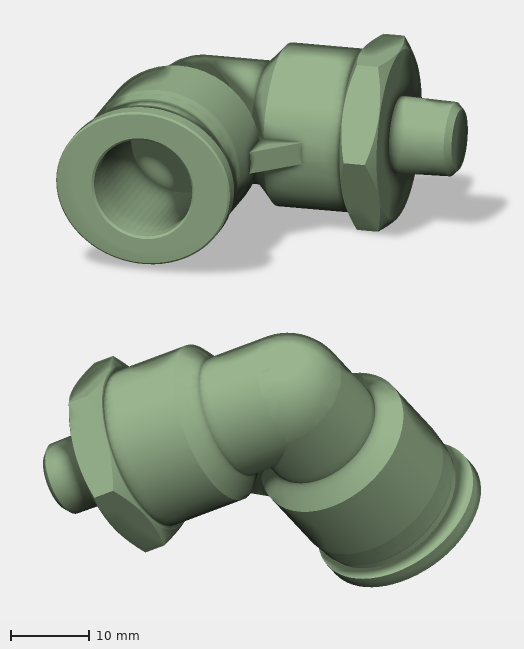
import cadquery as cq
import math


elbow_radius = 7.95
shoulder_start = 8.45
stud_arm_radius = 10.5
stud_shoulder_end = 10.83
stud_arm_end = 21.05
tube_arm_radius = 10.6
tube_shoulder_end = 11.1
tube_taper_start = 21.05
tube_taper_end = 23.97
tube_taper_radius = 10.33
tube_rim_radius = 10.0
tube_arm_end = 25.47
rim_chamfer = 0.25
rib_thickness = 2.85
rib_reach = 26.48

hex_across_flats = 22.25
hex_thickness = 4.9
hex_face_radius = 11.0
hex_chamfer_angle = 30
thread_root_radius = 4.95
thread_tip_radius = 4.78
thread_tip_radius_chamfered = 3.95
tip_chamfer_length = 0.8
stud_end = 34.0

flange_width = 23.0
flange_height = 20.45
flange_thickness = 2.25
flange_edge_chamfer = 0.25
neck_diameter = 14.8
neck_radius = neck_diameter / 2
bore_radius = 6.5
bore_edge_chamfer = 0.27
hex_corner_radius = hex_across_flats / math.sqrt(3)
overall_depth = 42.12
sleeve_end = overall_depth - hex_corner_radius
flange_start = sleeve_end - flange_thickness
socket_depth = 18.2
socket_floor = sleeve_end - socket_depth
sleeve_length = 5.2
sleeve_inner_end = sleeve_end - sleeve_length


def cylinder_along_tube(radius, start, end):
    """Cylinder on the -Y axis between two distances from the origin."""
    return cq.Workplane("XZ", origin=(0, -start, 0)).circle(radius).extrude(end - start)


def make_stud_arm():
    outline = [
        (0, 0),
        (0, elbow_radius),
        (shoulder_start, elbow_radius),
        (stud_shoulder_end, stud_arm_radius),
        (stud_arm_end, stud_arm_radius),
        (stud_arm_end, 0),
    ]
    return cq.Workplane("XY").polyline(outline).close().revolve(360, (0, 0), (1, 0))


def make_tube_arm():
    outline = [
        (0, 0),
        (elbow_radius, 0),
        (elbow_radius, -shoulder_start),
        (tube_arm_radius, -tube_shoulder_end),
        (tube_arm_radius, -tube_taper_start),
        (tube_taper_radius, -tube_taper_end),
        (tube_rim_radius, -tube_taper_end),
        (tube_rim_radius, -tube_arm_end + rim_chamfer),
        (tube_rim_radius - rim_chamfer, -tube_arm_end),
        (0, -tube_arm_end),
    ]
    return cq.Workplane("XY").polyline(outline).close().revolve(360, (0, 0), (0, 1))


def make_rib():
    """Triangular web filling the inner corner between the arms."""
    inner = elbow_radius / 2
    outline = [
        (inner, -inner),
        (rib_reach - stud_arm_radius, -inner),
        (rib_reach - stud_arm_radius, -stud_arm_radius),
        (tube_arm_radius, tube_arm_radius - rib_reach),
        (inner, tube_arm_radius - rib_reach),
    ]
    return cq.Workplane("XY").polyline(outline).close().extrude(rib_thickness / 2, both=True)


def make_housing():
    corner = cq.Workplane("XY").sphere(elbow_radius)
    body = corner.union(make_stud_arm()).union(make_tube_arm()).union(make_rib())
    socket = cylinder_along_tube(bore_radius, socket_floor, tube_arm_end)
    sleeve_seat = cylinder_along_tube(neck_radius, sleeve_inner_end, tube_arm_end)
    return body.cut(socket).cut(sleeve_seat)


def make_stud():
    hex_end = stud_arm_end + hex_thickness
    hexagon = (
        cq.Workplane("YZ", origin=(stud_arm_end, 0, 0))
        .polygon(6, 2 * hex_corner_radius)
        .extrude(hex_thickness)
    )
    bevel_length = (hex_corner_radius - hex_face_radius) * math.tan(math.radians(hex_chamfer_angle))
    blank_outline = [
        (stud_arm_end, 0),
        (stud_arm_end, hex_face_radius),
        (stud_arm_end + bevel_length, hex_corner_radius),
        (hex_end - bevel_length, hex_corner_radius),
        (hex_end, hex_face_radius),
        (hex_end, 0),
    ]
    blank = cq.Workplane("XY").polyline(blank_outline).close().revolve(360, (0, 0), (1, 0))
    thread_outline = [
        (hex_end, 0),
        (hex_end, thread_root_radius),
        (stud_end - tip_chamfer_length, thread_tip_radius),
        (stud_end, thread_tip_radius_chamfered),
        (stud_end, 0),
    ]
    thread = cq.Workplane("XY").polyline(thread_outline).close().revolve(360, (0, 0), (1, 0))
    return hexagon.intersect(blank).union(thread)


def make_sleeve():
    flange = (
        cq.Workplane("XZ", origin=(0, -flange_start, 0))
        .ellipse(flange_width / 2, flange_height / 2)
        .extrude(flange_thickness)
        .faces("<Y")
        .chamfer(flange_edge_chamfer)
    )
    neck = cylinder_along_tube(neck_radius, sleeve_inner_end, flange_start)
    bore = cylinder_along_tube(bore_radius, sleeve_inner_end, sleeve_end)
    sleeve = flange.union(neck).cut(bore)
    return sleeve.faces("<Y").edges("%CIRCLE").chamfer(bore_edge_chamfer)


housing = make_housing()
stud = make_stud()
sleeve = make_sleeve()

result = cq.Compound.makeCompound([housing.val(), stud.val(), sleeve.val()])